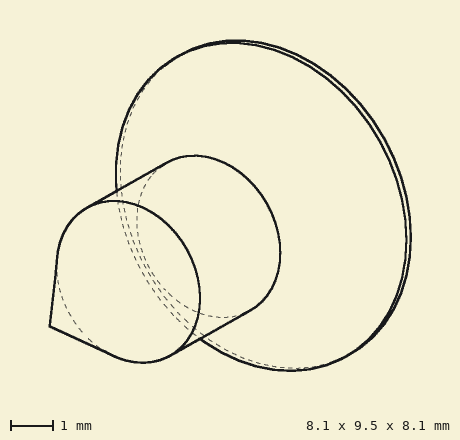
import cadquery as cq
import math

overall_length = 9.5
head_diameter = 8.1
shank_diameter = 4.0
rim_thickness = 0.2
head_height = 2.51
tip_angle = 60.0

head_radius = head_diameter / 2
shank_radius = shank_diameter / 2
tip_length = shank_radius / math.tan(math.radians(tip_angle / 2))

rim_y = -rim_thickness
head_y = -head_height
tip_y = -overall_length
shank_end_y = tip_y + tip_length

half_profile = (
    cq.Workplane("XY")
    .moveTo(0, 0)
    .lineTo(head_radius, 0)
    .lineTo(head_radius, rim_y)
    .lineTo(shank_radius, head_y)
    .lineTo(shank_radius, shank_end_y)
    .lineTo(0, tip_y)
    .close()
)

result = half_profile.revolve(360, (0, 0, 0), (0, 1, 0))